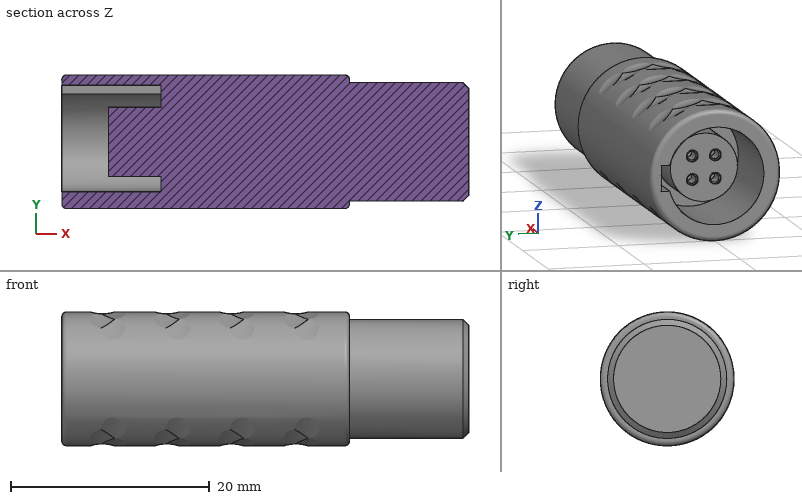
import cadquery as cq
import math

TOTAL_LENGTH = 41.0
BODY_LENGTH = 29.0
BODY_RADIUS = 6.75
BODY_EDGE_FILLET = 0.5
TAIL_RADIUS = 6.0
TAIL_CHAMFER = 0.6

SOCKET_RADIUS = 5.0
SOCKET_DEPTH = 10.0
KEYWAY_WIDTH = 2.65
KEYWAY_REACH = 5.7

INSERT_RADIUS = 3.5
INSERT_FACE_X = 4.7
CONTACT_OFFSET = 1.2
CONTACT_RADIUS = 0.6
CONTACT_BORE_RADIUS = 0.45
CONTACT_RECESS = 0.3
CONTACT_BORE_DEPTH = 2.0

GROUP_COUNT = 4
GROUP_PITCH = 6.5
FRONT_COLUMN_X = 4.1
FRONT_COLUMN_COUNT = 3
REAR_COLUMN_X = 5.2
REAR_COLUMN_COUNT = 4
SCALLOP_RADIUS = 4.0
SCALLOP_DEPTH = 0.19
SCALLOP_LENGTH = 5.0
SCALLOP_STEP = 2 * math.degrees(math.acos(1 - SCALLOP_DEPTH / BODY_RADIUS))


def x_cylinder(radius, start, end, y=0.0, z=0.0):
    """Cylinder along X between two X positions."""
    return cq.Workplane("YZ", origin=(start, y, z)).circle(radius).extrude(end - start)


def make_sleeve():
    body = x_cylinder(BODY_RADIUS, 0, BODY_LENGTH).edges().fillet(BODY_EDGE_FILLET)
    tail = x_cylinder(TAIL_RADIUS, BODY_LENGTH, TOTAL_LENGTH)
    tail = tail.faces(">X").chamfer(TAIL_CHAMFER)
    return body.union(tail)


def make_socket():
    """Cutting tool for the socket and its keyway."""
    keyway = cq.Workplane("XY").box(
        SOCKET_DEPTH, KEYWAY_REACH, KEYWAY_WIDTH, centered=(False, False, True)
    )
    insert = x_cylinder(INSERT_RADIUS, INSERT_FACE_X, SOCKET_DEPTH)
    return x_cylinder(SOCKET_RADIUS, 0, SOCKET_DEPTH).union(keyway).cut(insert)


def make_contact_hole(y, z):
    """Shallow recess with a narrower bore behind it, opening on the insert face."""
    recess = x_cylinder(CONTACT_RADIUS, INSERT_FACE_X, INSERT_FACE_X + CONTACT_RECESS, y, z)
    bore = x_cylinder(CONTACT_BORE_RADIUS, INSERT_FACE_X, INSERT_FACE_X + CONTACT_BORE_DEPTH, y, z)
    return recess.union(bore)


def make_scallop(x, angle):
    """Cylindrical cutter lying across the top of the body, turned about X by an angle in degrees."""
    axis_height = BODY_RADIUS - SCALLOP_DEPTH + SCALLOP_RADIUS
    cutter = (
        cq.Workplane("XZ", origin=(x, 0, axis_height))
        .circle(SCALLOP_RADIUS)
        .extrude(SCALLOP_LENGTH / 2, both=True)
    )
    return cutter.rotate((0, 0, 0), (1, 0, 0), angle)


def cut_scallop_column(part, x, count, side_angle):
    """Cut one column of scallops around the body, centred on the side at the given angle."""
    for row in range(count):
        angle = side_angle + (row - (count - 1) / 2) * SCALLOP_STEP
        part = part.cut(make_scallop(x, angle))
    return part


def cut_grip(part):
    for group in range(GROUP_COUNT):
        shift = group * GROUP_PITCH
        for side_angle in (0, 180):
            part = cut_scallop_column(part, FRONT_COLUMN_X + shift, FRONT_COLUMN_COUNT, side_angle)
            part = cut_scallop_column(part, REAR_COLUMN_X + shift, REAR_COLUMN_COUNT, side_angle)
    return part


def cut_contacts(part):
    for y in (-CONTACT_OFFSET, CONTACT_OFFSET):
        for z in (-CONTACT_OFFSET, CONTACT_OFFSET):
            part = part.cut(make_contact_hole(y, z))
    return part


connector = make_sleeve().cut(make_socket())
connector = cut_contacts(connector)
result = cut_grip(connector)